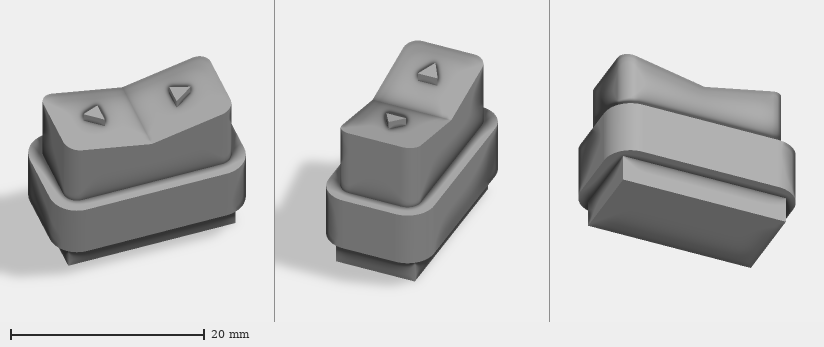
import cadquery as cq
import math

housing_width = 11.94
housing_length = 21.4
housing_height = 6.0
housing_corner_radius = 3.0

ledge = 1.5
inner_width = housing_width - 2 * ledge
inner_length = housing_length - 2 * ledge
inner_half_length = inner_length / 2
plug_height = 3.0

rocker_corner_radius = housing_corner_radius - ledge
rocker_end_height = 7.5
valley_depth = 2.0

arrow_width = 2.25
arrow_tip_y = 5.9
arrow_base_y = arrow_tip_y - arrow_width * math.sqrt(3) / 2

total_height = 16.7
housing_bottom = plug_height
rocker_bottom = housing_bottom + housing_height
rocker_end_z = rocker_bottom + rocker_end_height
valley_z = rocker_end_z - valley_depth
arrow_tip_surface_z = valley_z + valley_depth * arrow_tip_y / inner_half_length
arrow_rise = total_height - arrow_tip_surface_z


def block(width, length, bottom, height):
    """Centred rectangular block standing on the given level."""
    return cq.Workplane("XY").workplane(offset=bottom).rect(width, length).extrude(height)


def v_topped_block(lift):
    """Block over the rocker outline whose V-shaped top is raised by lift."""
    profile = [
        (-inner_half_length, rocker_bottom),
        (inner_half_length, rocker_bottom),
        (inner_half_length, rocker_end_z + lift),
        (0, valley_z + lift),
        (-inner_half_length, rocker_end_z + lift),
    ]
    return cq.Workplane("YZ").polyline(profile).close().extrude(inner_width / 2, both=True)


def make_plug():
    return block(inner_width, inner_length, 0, plug_height)


def make_housing():
    housing = block(housing_width, housing_length, housing_bottom, housing_height)
    return housing.edges("|Z").fillet(housing_corner_radius)


def make_rocker():
    outline = block(inner_width, inner_length, rocker_bottom, rocker_end_height)
    return outline.edges("|Z").fillet(rocker_corner_radius).intersect(v_topped_block(0))


def make_arrow(direction):
    """Upright triangular arrow, its top parallel to the slope it stands on."""
    corners = [
        (-arrow_width / 2, direction * arrow_base_y),
        (arrow_width / 2, direction * arrow_base_y),
        (0, direction * arrow_tip_y),
    ]
    prism = cq.Workplane("XY").workplane(offset=rocker_bottom).polyline(corners).close()
    prism = prism.extrude(total_height - rocker_bottom)
    return prism.intersect(v_topped_block(arrow_rise))


result = make_plug().union(make_housing()).union(make_rocker())
for direction in (1, -1):
    result = result.union(make_arrow(direction))